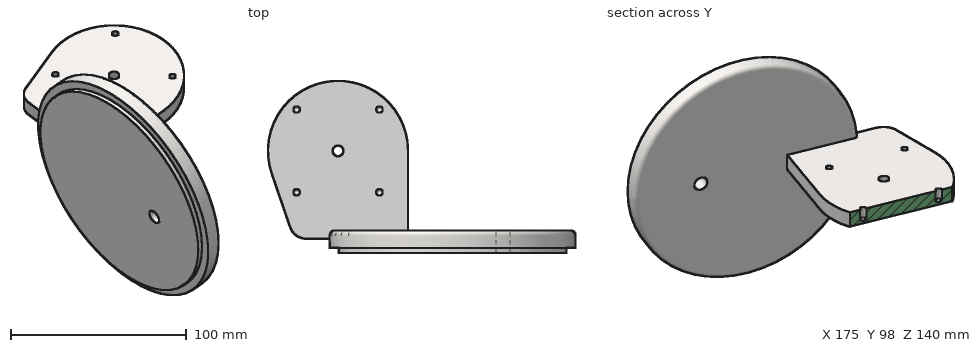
import cadquery as cq
import math

plate_thickness = 10.0
head_radius = 39.9
head_to_plate_end = 50.0
plate_end_left = 25.0
corner_radius = 10.0
shaft_hole_diameter = 6.0
screw_hole_diameter = 3.7
screw_spacing = 47.0
screw_hole_depth = 7.0
drill_tip_angle = 118.0

disc_radius = 70.0
disc_thickness = 10.0
back_fillet = 3.0
face_radius = 65.0
face_height = 3.0
disc_hole_diameter = 8.0
disc_hole_offset = 28.7

overall_length_x = 175.0
overall_depth_y = 98.0

disc_x = overall_length_x - head_radius - disc_radius
disc_front_y = head_radius - overall_depth_y
disc_back_y = disc_front_y + face_height + disc_thickness


def make_plate():
    """Plate outline whose left flank is tangent to the round head."""
    corner_distance = math.hypot(plate_end_left, head_to_plate_end)
    corner_angle = math.atan2(-head_to_plate_end, -plate_end_left)
    tangent_angle = corner_angle - math.acos(head_radius / corner_distance)
    tangent_point = (
        head_radius * math.cos(tangent_angle),
        head_radius * math.sin(tangent_angle),
    )
    plate = (
        cq.Workplane("XY")
        .moveTo(head_radius, -head_to_plate_end)
        .lineTo(head_radius, 0)
        .threePointArc((0, head_radius), tangent_point)
        .lineTo(-plate_end_left, -head_to_plate_end)
        .close()
        .extrude(plate_thickness / 2, both=True)
    )
    return plate.edges("|Z").edges(
        cq.selectors.NearestToPointSelector((-plate_end_left, -head_to_plate_end, 0))
    ).fillet(corner_radius)


def make_disc():
    """Disc with a rounded back rim and a raised, slightly smaller front face."""
    body = (
        cq.Workplane("XZ", origin=(disc_x, disc_back_y, 0))
        .circle(disc_radius)
        .extrude(disc_thickness)
        .edges(">Y")
        .fillet(back_fillet)
    )
    return body.faces("<Y").workplane().circle(face_radius).extrude(face_height)


def drill_screw_holes(part):
    """Four blind holes with conical bottoms, in a square around the shaft hole."""
    radius = screw_hole_diameter / 2
    tip_height = radius / math.tan(math.radians(drill_tip_angle / 2))
    top = plate_thickness / 2
    floor = top - screw_hole_depth
    drill = (
        cq.Workplane("XZ")
        .polyline([(0, top), (radius, top), (radius, floor), (0, floor - tip_height)])
        .close()
        .revolve(360, (0, 0, 0), (0, 1, 0))
    )
    for x_side in (-1, 1):
        for y_side in (-1, 1):
            position = (x_side * screw_spacing / 2, y_side * screw_spacing / 2, 0)
            part = part.cut(drill.translate(position))
    return part


def drill_through_holes(part):
    """Shaft hole through the plate and an off-centre hole through the disc."""
    shaft = (
        cq.Workplane("XY")
        .circle(shaft_hole_diameter / 2)
        .extrude(plate_thickness, both=True)
    )
    disc_hole = (
        cq.Workplane("XZ", origin=(disc_x + disc_hole_offset, disc_back_y, 0))
        .circle(disc_hole_diameter / 2)
        .extrude(disc_thickness + face_height)
    )
    return part.cut(shaft).cut(disc_hole)


result = make_plate().union(make_disc())
result = drill_screw_holes(result)
result = drill_through_holes(result)